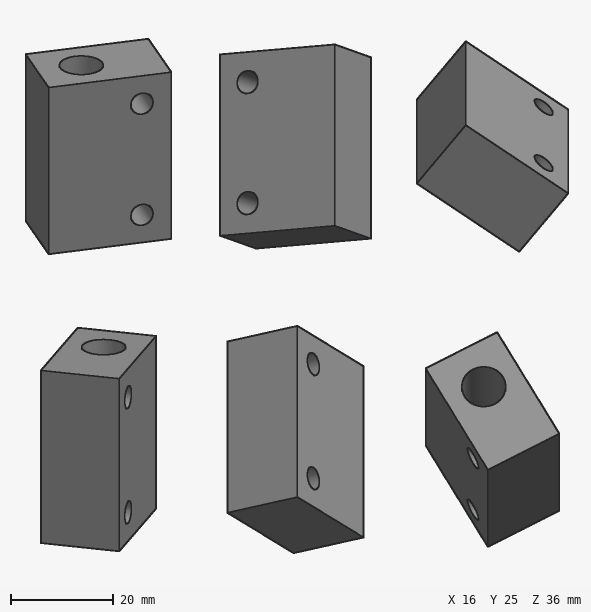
import cadquery as cq

width = 16.0
depth = 25.0
height = 36.0

bore_diameter = 8.566
bore_from_front = 9.0
bore_depth = 25.0

cross_hole_diameter = 4.5
cross_hole_inset = 6.0


def make_block():
    """Plain block with its lower front left corner at the origin."""
    return cq.Workplane("XY").box(width, depth, height, centered=False)


def make_bore():
    """Flat-bottomed cylinder reaching down from the top face."""
    floor = cq.Workplane("XY", origin=(width / 2, bore_from_front, height - bore_depth))
    return floor.circle(bore_diameter / 2).extrude(bore_depth)


def make_cross_hole(z):
    """Cylinder along X through the whole width at height z."""
    side = cq.Workplane("YZ", origin=(0, depth - cross_hole_inset, z))
    return side.circle(cross_hole_diameter / 2).extrude(width)


result = make_block().cut(make_bore())
for hole_z in (cross_hole_inset, height - cross_hole_inset):
    result = result.cut(make_cross_hole(hole_z))